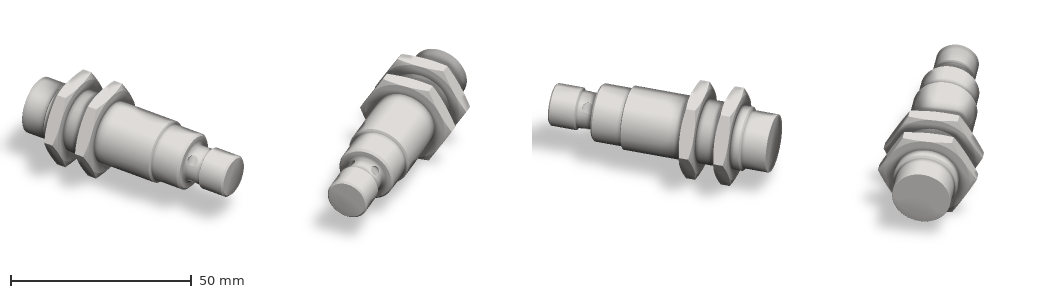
import cadquery as cq
import math

total_length = 63.5

plain_diameter = 16.4
thread_diameter = 18.05
nose_chamfer = 0.1
thread_start = 7.0
thread_end = 41.9
thread_lead_in = 0.6
thread_run_out = 0.4
rear_end = 50.6
rear_chamfer = 0.6

neck_diameter = 10.55
neck_fillet = 0.95
plug_diameter = 12.0
plug_start = 55.5
plug_front_bevel = 0.4
plug_end_chamfer = 0.5

nut_across_flats = 24.0
nut_thickness = 4.0
nut_starts = (10.0, 19.95)
nut_chamfer_angle = 20.0

window_diameter = 3.0
window_position = 52.5
window_floor_radius = 4.9
window_angles = (45, 135, 225, 315)


def turned_body():
    plain = plain_diameter / 2
    thread = thread_diameter / 2
    neck = neck_diameter / 2
    plug = plug_diameter / 2
    blend = neck_fillet * (1 - math.sqrt(0.5))
    profile = (
        cq.Workplane("XY")
        .lineTo(0, plain - nose_chamfer)
        .lineTo(nose_chamfer, plain)
        .lineTo(thread_start, plain)
        .lineTo(thread_start + thread_lead_in, thread)
        .lineTo(thread_end - thread_run_out, thread)
        .lineTo(thread_end, plain)
        .lineTo(rear_end - rear_chamfer, plain)
        .lineTo(rear_end, plain - rear_chamfer)
        .lineTo(rear_end, neck + neck_fillet)
        .threePointArc((rear_end + blend, neck + blend), (rear_end + neck_fillet, neck))
        .lineTo(plug_start, neck)
        .lineTo(plug_start + plug_front_bevel, plug)
        .lineTo(total_length - plug_end_chamfer, plug)
        .lineTo(total_length, plug - plug_end_chamfer)
        .lineTo(total_length, 0)
        .close()
    )
    return profile.revolve(360, (0, 0, 0), (1, 0, 0))


def lock_nut(start):
    flat_radius = nut_across_flats / 2
    corner_radius = flat_radius / math.cos(math.pi / 6)
    bevel = (corner_radius - flat_radius) * math.tan(math.radians(nut_chamfer_angle))
    end = start + nut_thickness
    hexagon = cq.Workplane("YZ", origin=(start, 0, 0)).polygon(6, 2 * corner_radius).extrude(nut_thickness)
    envelope = (
        cq.Workplane("XY")
        .moveTo(start, 0)
        .lineTo(start, flat_radius)
        .lineTo(start + bevel, corner_radius)
        .lineTo(end - bevel, corner_radius)
        .lineTo(end, flat_radius)
        .lineTo(end, 0)
        .close()
        .revolve(360, (0, 0, 0), (1, 0, 0))
    )
    return hexagon.intersect(envelope)


def window_cutter(angle):
    cutter = (
        cq.Workplane("XY", origin=(window_position, 0, window_floor_radius))
        .circle(window_diameter / 2)
        .extrude(plug_diameter / 2 - window_floor_radius)
    )
    return cutter.rotate((0, 0, 0), (1, 0, 0), angle)


result = turned_body()
for nut_start in nut_starts:
    result = result.union(lock_nut(nut_start))
for window_angle in window_angles:
    result = result.cut(window_cutter(window_angle))